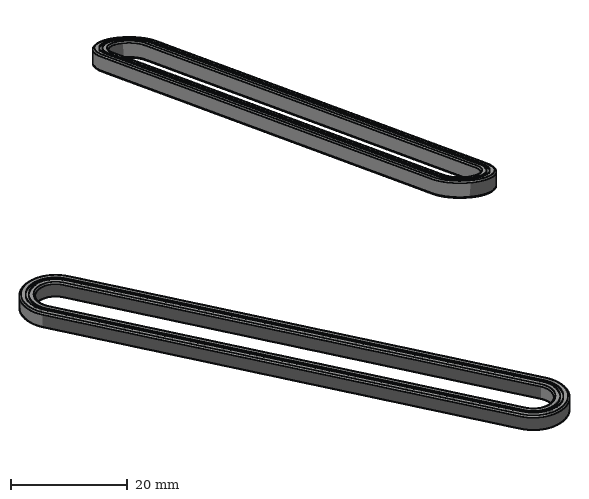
import cadquery as cq

length = 100.0
width = 12.5
height = 3.1

opening_width = 7.0
band_width = (width - opening_width) / 2
edge_chamfer = 0.3

groove_width = 0.55
groove_depth = 0.2
groove_inset = (band_width - groove_width) / 2


def rounded_slab(inset, thickness):
    """Slab with full-round ends, set in from the outer wall by inset."""
    return (
        cq.Workplane("XY")
        .slot2D(length - 2 * inset, width - 2 * inset)
        .extrude(thickness)
    )


def ring(inset, wall, thickness):
    """Closed band of constant wall with full-round ends."""
    return rounded_slab(inset, thickness).cut(rounded_slab(inset + wall, thickness))


band = ring(0, band_width, height).faces("|Z").edges().chamfer(edge_chamfer)

groove_floor = height - groove_depth
groove = ring(groove_inset, groove_width, groove_depth).translate((0, 0, groove_floor))

result = band.cut(groove)